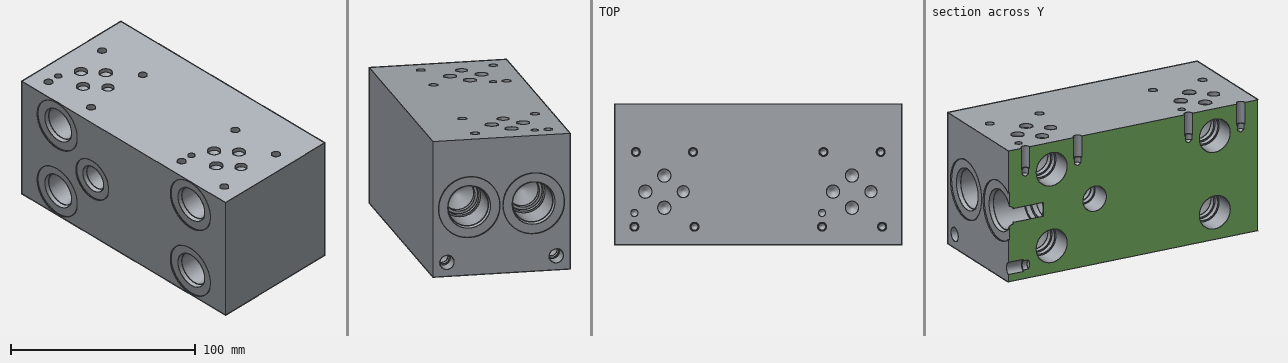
import cadquery as cq
import math


LENGTH = 155.5
WIDTH = 76.2
HEIGHT = 76.2

DRILL_POINT_ANGLE = 118.0
OVERSHOOT = 0.8

STATION_COUNT = 2
STATION_PITCH = 101.6
STATION_ORIGIN = (42.5, 50.2)

GAUGE_PORT = (25.0, 15.9, 14.6, 14.3, 12.9, 12.3)
WORK_PORT = (30.6, 20.4, 19.3, 19.0, 17.5, 15.9)
MAIN_PORT = (34.0, 23.8, 22.5, 22.2, 20.4, 17.5)
SPOTFACE_DEPTH = 0.8
SEAT_DEPTH = 3.1
THREAD_DEPTH = 21.8
THREAD_END_DEPTH = 24.9
PORT_DEPTH = 28.0

WORK_PORT_X = 27.0
WORK_PORT_RISE = 22.2
GAUGE_PORT_X = 53.8

MAIN_PORT_OFFSET = 17.9
MOUNT_OFFSET = 30.3
MOUNT_Z = 8.0
MOUNT_MAJOR = 8.0
MOUNT_MINOR = 6.5
MOUNT_THREAD_DEPTH = 9.3
MOUNT_DEPTH = 12.5

BOLT_OFFSETS = [(0, 0), (-31.0, 0), (-31.7, -40.5), (0.8, -40.5)]
BOLT_MAJOR = 4.8
BOLT_MINOR = 3.7
BOLT_THREAD_DEPTH = 12.5
BOLT_DEPTH = 15.5
PIN_OFFSET = (-31.7, -33.0)
PIN_DIAMETER = 3.9
PIN_DEPTH = 6.2
VALVE_PORTS = [
    (-25.8, -21.5, 7.2),
    (-15.5, -12.8, 7.2),
    (-15.5, -30.2, 7.2),
    (-5.3, -21.5, 6.5),
]
VALVE_PORT_DEPTH = 2.3


def blind_cutter(steps):
    """Revolved cutter pointing down -Z from its mouth at the origin.

    `steps` lists (diameter, depth) pairs from the mouth inwards; a drill point closes the last.
    """
    mouth_radius = steps[0][0] / 2
    last_diameter, last_depth = steps[-1]
    point_length = last_diameter / 2 / math.tan(math.radians(DRILL_POINT_ANGLE / 2))
    profile = [(0, OVERSHOOT), (mouth_radius, OVERSHOOT)]
    profile += [(diameter / 2, -depth) for diameter, depth in steps]
    profile.append((0, -last_depth - point_length))
    return cq.Workplane("XZ").polyline(profile).close().revolve(360, (0, 0, 0), (0, 1, 0))


def port_cutter(spotface, mouth, seat, thread, thread_end, drill):
    """Straight-thread port: spotface, conical sealing seat, thread and drill."""
    return blind_cutter([
        (spotface, 0),
        (spotface, SPOTFACE_DEPTH),
        (mouth, SPOTFACE_DEPTH),
        (seat, SEAT_DEPTH),
        (thread, SEAT_DEPTH),
        (thread, THREAD_DEPTH),
        (thread_end, THREAD_DEPTH),
        (thread_end, THREAD_END_DEPTH),
        (drill, THREAD_END_DEPTH),
        (drill, PORT_DEPTH),
    ])


def tapped_cutter(major, minor, thread_depth, depth):
    """Tapped hole: the thread at its major diameter, then the tap drill."""
    return blind_cutter([(major, 0), (major, thread_depth), (minor, thread_depth), (minor, depth)])


def plain_cutter(diameter, depth):
    return blind_cutter([(diameter, 0), (diameter, depth)])


def from_top(cutter, x, y):
    return cutter.translate((x, y, HEIGHT))


def from_front(cutter, x, z):
    return cutter.rotate((0, 0, 0), (1, 0, 0), 90).translate((x, 0, z))


def from_left(cutter, y, z):
    return cutter.rotate((0, 0, 0), (0, 1, 0), -90).translate((0, y, z))


result = cq.Workplane("XY").box(LENGTH, WIDTH, HEIGHT, centered=False)

for station in range(STATION_COUNT):
    shift = station * STATION_PITCH
    origin_x = STATION_ORIGIN[0] + shift
    origin_y = STATION_ORIGIN[1]

    for dx, dy in BOLT_OFFSETS:
        bolt_hole = tapped_cutter(BOLT_MAJOR, BOLT_MINOR, BOLT_THREAD_DEPTH, BOLT_DEPTH)
        result = result.cut(from_top(bolt_hole, origin_x + dx, origin_y + dy))

    pin_hole = plain_cutter(PIN_DIAMETER, PIN_DEPTH)
    result = result.cut(from_top(pin_hole, origin_x + PIN_OFFSET[0], origin_y + PIN_OFFSET[1]))

    for dx, dy, diameter in VALVE_PORTS:
        valve_port = plain_cutter(diameter, VALVE_PORT_DEPTH)
        result = result.cut(from_top(valve_port, origin_x + dx, origin_y + dy))

    for rise in (-WORK_PORT_RISE, WORK_PORT_RISE):
        work_port = port_cutter(*WORK_PORT)
        result = result.cut(from_front(work_port, WORK_PORT_X + shift, HEIGHT / 2 + rise))

result = result.cut(from_front(port_cutter(*GAUGE_PORT), GAUGE_PORT_X, HEIGHT / 2))

for side in (-1, 1):
    main_port = from_left(port_cutter(*MAIN_PORT), WIDTH / 2 + side * MAIN_PORT_OFFSET, HEIGHT / 2)
    mount_hole = tapped_cutter(MOUNT_MAJOR, MOUNT_MINOR, MOUNT_THREAD_DEPTH, MOUNT_DEPTH)
    mount_hole = from_left(mount_hole, WIDTH / 2 + side * MOUNT_OFFSET, MOUNT_Z)
    result = result.cut(main_port).cut(mount_hole)